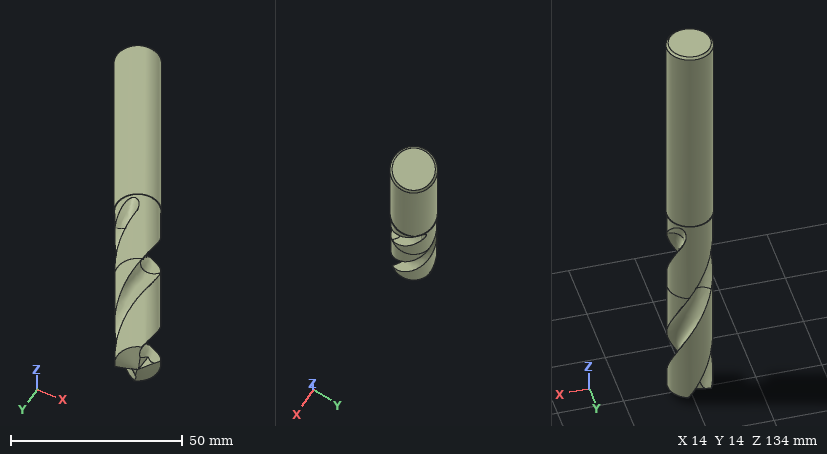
import cadquery as cq
import math

total_length = 134.0
shank_diameter = 14.0
drill_diameter = 13.5
shank_start = 68.7
shank_chamfer = 0.7
cutting_length = 40.9
point_angle = 140.0

flute_count = 2
flute_pitch = 76.9
flute_radius = 4.0
flute_centre_radius = drill_diameter / 2
flute_end = 60.3
flute_side_height = 17.8
runout_height = 9.4
runout_outward = 0.35
runout_sideways = 0.75

gash_start = cq.Vector(0.1, -0.1, 0)
gash_end = cq.Vector(2.4, -2.0, 4.8)
gash_lip = cq.Vector(4.0, -3.2, 1.9)
gash_heel = cq.Vector(-0.7, -3.5, 1.9)
gash_reach = 6.7
gash_overrun = 3

drill_radius = drill_diameter / 2
point_height = drill_radius / math.tan(math.radians(point_angle / 2))


def flute_angle(height):
    """Angle in degrees about Z of the first flute at a given height."""
    return 360 * (height - flute_side_height) / flute_pitch


def around_axis(solid):
    """Copies of a cutter evenly spaced about the drill axis."""
    step = 360 / flute_count
    return [solid.rotate((0, 0, 0), (0, 0, 1), i * step) for i in range(flute_count)]


def make_flute():
    """Twisted cutter with a round horizontal section, from the tip up to flute_end."""
    twist = flute_angle(flute_end) - flute_angle(0)
    section = cq.Wire.makeCircle(
        flute_radius, cq.Vector(flute_centre_radius, 0, 0), cq.Vector(0, 0, 1)
    )
    helix = cq.Solid.extrudeLinearWithRotation(
        section, [], cq.Vector(0, 0, 0), cq.Vector(0, 0, flute_end), twist
    )
    return cq.Workplane(helix.rotate((0, 0, 0), (0, 0, 1), flute_angle(0)))


def make_runout():
    """Continues the flute section along a straight line that climbs out of the drill."""
    section = cq.Wire.makeCircle(
        flute_radius, cq.Vector(flute_centre_radius, 0, flute_end), cq.Vector(0, 0, 1)
    )
    travel = cq.Vector(runout_outward, runout_sideways, 1) * runout_height
    runout = cq.Solid.extrudeLinear(section, [], travel)
    return cq.Workplane(runout.rotate((0, 0, 0), (0, 0, 1), flute_angle(flute_end)))


def make_gash():
    """Four-sided prism along the valley line, with one face to the lip and one to the heel."""
    valley = gash_end - gash_start
    toward_lip = valley.cross(gash_lip - gash_start).cross(valley)
    plane = cq.Plane(gash_start - valley, toward_lip, valley)

    def across_valley(point):
        side = point - gash_start
        return cq.Vector(side.dot(plane.xDir), side.dot(plane.yDir), 0).normalized()

    lip_side = across_valley(gash_lip) * gash_reach
    heel_side = across_valley(gash_heel) * gash_reach
    open_side = (lip_side + heel_side).normalized() * gash_reach
    corners = [(0, 0)]
    corners += [(corner.x, corner.y) for corner in (lip_side, open_side, heel_side)]
    return cq.Workplane(plane).polyline(corners).close().extrude(gash_overrun * valley.Length)


def make_shank():
    """Plain grip with a slimmer neck that holds the upper ends of the flutes."""
    neck = (
        cq.Workplane("XY", origin=(0, 0, cutting_length))
        .circle(drill_radius)
        .extrude(shank_start - cutting_length)
        .rotate((0, 0, 0), (0, 0, 1), -90)
    )
    grip = (
        cq.Workplane("XY", origin=(0, 0, shank_start))
        .circle(shank_diameter / 2)
        .extrude(total_length - shank_start)
        .faces(">Z")
        .chamfer(shank_chamfer)
        .rotate((0, 0, 0), (0, 0, 1), -90)
    )
    body = neck.union(grip)
    for cutter in around_axis(make_flute()) + around_axis(make_runout()):
        body = body.cut(cutter)
    return body


def make_cutting_end():
    """Conical point and fluted lower part of the drill."""
    body = (
        cq.Workplane("XZ")
        .polyline(
            [(0, 0), (drill_radius, point_height), (drill_radius, cutting_length), (0, cutting_length)]
        )
        .close()
        .revolve(360, (0, 0, 0), (0, 1, 0))
        .rotate((0, 0, 0), (0, 0, 1), 180)
    )
    for cutter in around_axis(make_flute()) + around_axis(make_gash()):
        body = body.cut(cutter)
    return body


shank = make_shank()
cutting_end = make_cutting_end()

result = cq.Compound.makeCompound([shank.val(), cutting_end.val()])